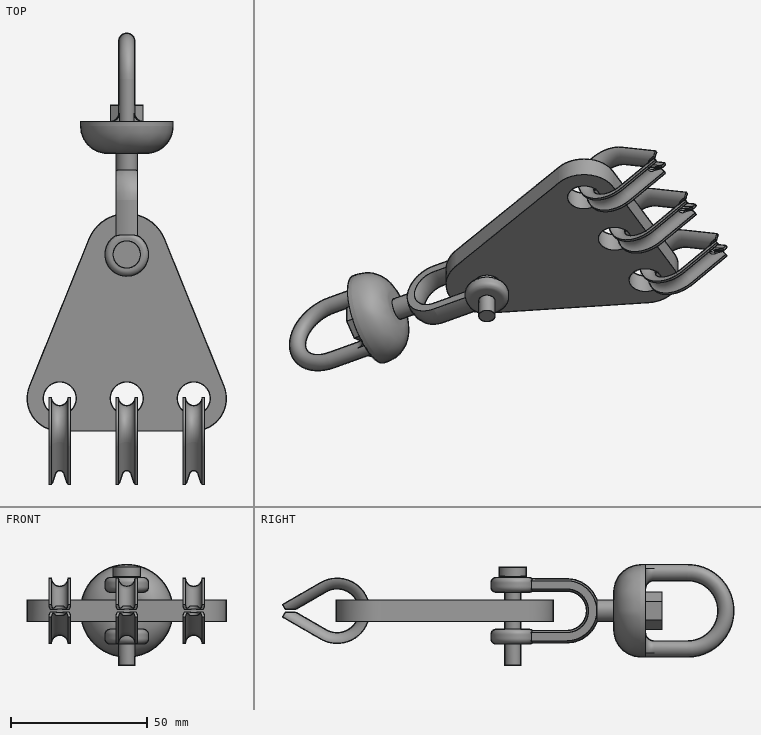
import cadquery as cq
import math


plate_thickness = 8.0
plate_top_radius = 15.0
corner_radius = 12.0
plate_width = 73.16
thimble_hole_diameter = 12.0
pin_hole_diameter = 10.0
hole_row_y = -52.8
hole_spacing = plate_width / 2 - corner_radius
thimble_places_x = [-hole_spacing, 0, hole_spacing]

pin_diameter = 6.0
pin_bottom_z = -20.0
pin_head_diameter = 10.0
pin_head_top_z = 16.0
pin_head_height = 3.4

fork_eye_diameter = 16.0
fork_eye_height = 5.5
fork_eye_fillet = 2.0
fork_width = 8.0
fork_side_thickness = 3.0
fork_crown = 0.85
bow_radius = 9.5
bow_center_y = 19.85

shaft_diameter = 8.0
dome_diameter = 34.0
dome_thickness = 11.75
dome_edge_radius = 10.0
dome_back_y = 48.8
nut_flats = 12.0
nut_height = 6.0

ring_bar_radius = 3.0
ring_radius = (dome_diameter - 2 * ring_bar_radius) / 2
ring_center_y = 64.2
ring_foot_radius = 3.0

thimble_ring_radius = 12.0
channel_outer_radius = 4.0
channel_inner_radius = 3.0
thimble_leg_angle = 30.0
thimble_leg_length = 16.2
thimble_gap = 1.0
tip_notch_depth = 5.1
tip_notch_nose_start = 3.7
tip_notch_mouth_half_width = 2.8
tip_notch_nose_half_width = 1.6
thimble_center_y = hole_row_y - 11.62


def tangent_point(center_x, center_y, radius, angle):
    return (center_x + radius * math.cos(angle), center_y + radius * math.sin(angle))


def make_plate():
    center_distance = math.hypot(hole_spacing, hole_row_y)
    center_line_tilt = math.atan2(hole_spacing, -hole_row_y)
    normal = center_line_tilt - math.asin((plate_top_radius - corner_radius) / center_distance)

    top_x, top_y = tangent_point(0, 0, plate_top_radius, normal)
    side_x, side_y = tangent_point(hole_spacing, hole_row_y, corner_radius, normal)
    mid_x, mid_y = tangent_point(hole_spacing, hole_row_y, corner_radius, -math.pi / 4)
    bottom_y = hole_row_y - corner_radius

    plate = (
        cq.Workplane("XY", origin=(0, 0, -plate_thickness / 2))
        .moveTo(-top_x, top_y)
        .threePointArc((0, plate_top_radius), (top_x, top_y))
        .lineTo(side_x, side_y)
        .threePointArc((mid_x, mid_y), (hole_spacing, bottom_y))
        .lineTo(-hole_spacing, bottom_y)
        .threePointArc((-mid_x, mid_y), (-side_x, side_y))
        .close()
        .extrude(plate_thickness)
    )
    thimble_holes = (
        cq.Workplane("XY", origin=(0, 0, -plate_thickness / 2))
        .pushPoints([(x, hole_row_y) for x in thimble_places_x])
        .circle(thimble_hole_diameter / 2)
        .extrude(plate_thickness)
    )
    pin_hole = (
        cq.Workplane("XY", origin=(0, 0, -plate_thickness / 2))
        .circle(pin_hole_diameter / 2)
        .extrude(plate_thickness)
    )
    return plate.cut(thimble_holes).cut(pin_hole)


def make_pin():
    stem = (
        cq.Workplane("XY", origin=(0, 0, pin_bottom_z))
        .circle(pin_diameter / 2)
        .extrude(pin_head_top_z - pin_bottom_z)
    )
    head = (
        cq.Workplane("XY", origin=(0, 0, pin_head_top_z - pin_head_height))
        .circle(pin_head_diameter / 2)
        .extrude(pin_head_height)
    )
    return stem.union(head)


def fork_section(y):
    half_width = fork_width / 2
    outer_z = bow_radius + fork_side_thickness / 2
    inner_z = bow_radius - fork_side_thickness / 2
    return (
        cq.Workplane("XZ", origin=(0, y, 0))
        .moveTo(-half_width, inner_z)
        .threePointArc((0, inner_z - fork_crown), (half_width, inner_z))
        .lineTo(half_width, outer_z)
        .threePointArc((0, outer_z + fork_crown), (-half_width, outer_z))
        .close()
    )


def make_fork():
    bow = fork_section(bow_center_y).revolve(180, (0, 0, 0), (-1, 0, 0))
    arm = fork_section(bow_center_y).extrude(bow_center_y)
    eye = (
        cq.Workplane("XY", origin=(0, 0, bow_radius - fork_eye_height / 2))
        .circle(fork_eye_diameter / 2)
        .extrude(fork_eye_height)
        .edges()
        .fillet(fork_eye_fillet)
    )
    upper = arm.union(eye)
    return bow.union(upper).union(upper.mirror("XY"))


def make_dome_and_shaft():
    dome_front_y = dome_back_y - dome_thickness
    dome = (
        cq.Workplane("XZ", origin=(0, dome_back_y, 0))
        .circle(dome_diameter / 2)
        .extrude(dome_thickness)
        .faces("<Y")
        .edges()
        .fillet(dome_edge_radius)
    )
    bow_top_y = bow_center_y + bow_radius
    shaft = (
        cq.Workplane("XZ", origin=(0, dome_front_y, 0))
        .circle(shaft_diameter / 2)
        .extrude(dome_front_y - bow_top_y)
    )
    nut = (
        cq.Workplane("XZ", origin=(0, dome_back_y + nut_height, 0))
        .transformed(rotate=(0, 0, 90))
        .polygon(6, nut_flats / math.cos(math.pi / 6))
        .extrude(nut_height)
    )
    return dome.union(shaft).union(nut)


def make_lifting_ring():
    ring_bow = (
        cq.Workplane("XZ", origin=(0, ring_center_y, 0))
        .center(0, ring_radius)
        .circle(ring_bar_radius)
        .revolve(180, (0, -ring_radius, 0), (-1, -ring_radius, 0))
    )
    leg = (
        cq.Workplane("XZ", origin=(0, ring_center_y, ring_radius))
        .circle(ring_bar_radius)
        .extrude(ring_center_y - dome_back_y)
    )
    foot_outer_radius = ring_bar_radius + ring_foot_radius
    arc_offset = ring_foot_radius * (1 - math.sqrt(0.5))
    foot = (
        cq.Workplane("XY", origin=(0, dome_back_y, ring_radius))
        .lineTo(foot_outer_radius, 0)
        .threePointArc(
            (ring_bar_radius + arc_offset, arc_offset),
            (ring_bar_radius, ring_foot_radius),
        )
        .lineTo(0, ring_foot_radius)
        .close()
        .revolve(360, (0, 0, 0), (0, 1, 0))
    )
    foot_trim = (
        cq.Workplane("XY", origin=(0, dome_back_y, ring_radius + ring_bar_radius / 2))
        .rect(4 * foot_outer_radius, 4 * ring_foot_radius)
        .extrude(foot_outer_radius)
    )
    upper = leg.union(foot.cut(foot_trim))
    return ring_bow.union(upper).union(upper.mirror("XY"))


def make_swivel():
    return make_dome_and_shaft().union(make_lifting_ring()).union(make_fork()).union(make_pin())


def channel_section(plane):
    return (
        cq.Workplane(plane)
        .moveTo(-channel_outer_radius, 0)
        .threePointArc((0, -channel_outer_radius), (channel_outer_radius, 0))
        .lineTo(channel_inner_radius, 0)
        .threePointArc((0, -channel_inner_radius), (-channel_inner_radius, 0))
        .close()
    )


def make_tip_notch():
    leg_angle = math.radians(thimble_leg_angle)
    tip_y = -thimble_ring_radius * math.sin(leg_angle) - thimble_leg_length * math.cos(leg_angle)
    return (
        cq.Workplane("XY", origin=(0, tip_y, 0))
        .moveTo(-tip_notch_mouth_half_width, 0)
        .lineTo(-tip_notch_nose_half_width, tip_notch_nose_start)
        .threePointArc((0, tip_notch_depth), (tip_notch_nose_half_width, tip_notch_nose_start))
        .lineTo(tip_notch_mouth_half_width, 0)
        .close()
        .extrude(thimble_ring_radius, both=True)
    )


def make_thimble(x):
    leg_angle = math.radians(thimble_leg_angle)
    leg_direction = cq.Vector(0, -math.cos(leg_angle), -math.sin(leg_angle))
    outward = cq.Vector(0, -math.sin(leg_angle), math.cos(leg_angle))
    leg_start = cq.Plane(
        origin=outward * thimble_ring_radius,
        xDir=(1, 0, 0),
        normal=leg_direction,
    )
    leg = channel_section(leg_start).extrude(thimble_leg_length)
    arc = channel_section(leg_start).revolve(
        2 * (90 + thimble_leg_angle),
        (1, -thimble_ring_radius, 0),
        (0, -thimble_ring_radius, 0),
    )
    tip_cutter = (
        cq.Workplane("XY", origin=(0, -thimble_leg_length, thimble_gap / 2))
        .rect(4 * channel_outer_radius, 2 * thimble_leg_length)
        .extrude(-thimble_ring_radius)
    )
    leg = leg.cut(tip_cutter)
    thimble = arc.union(leg).union(leg.mirror("XY"))
    return thimble.cut(make_tip_notch()).translate((x, thimble_center_y, 0))


plate = make_plate()
swivel = make_swivel()
thimbles = [make_thimble(x) for x in thimble_places_x]

result = cq.Compound.makeCompound([plate.val(), swivel.val(), *[thimble.val() for thimble in thimbles]])